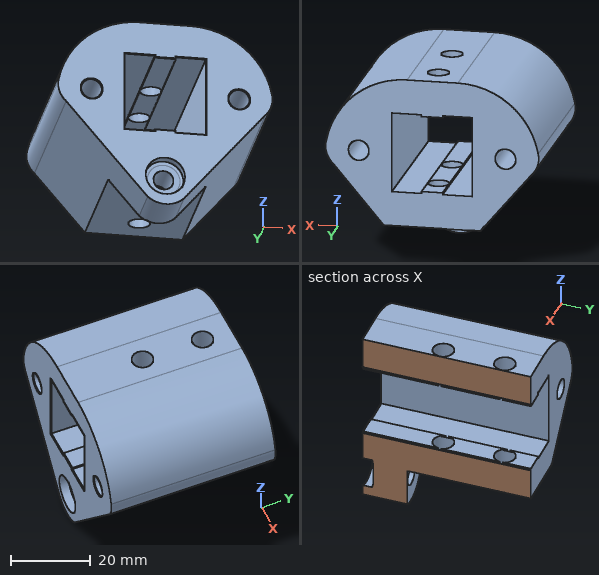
import cadquery as cq

height = 49.4
depth = 45.0
half_width = 27.3

top_flat_half = 6.5
shoulder_radius = 21.05
shoulder_end_x = 27.15
shoulder_end_z = 32.25
corner_widest_z = 30.85
flank_top_x = 25.35
flank_top_z = 26.3
flank_bottom_x = 4.6
flank_bottom_z = 1.75

flange_depth = 12.0
body_bottom_z = 11.0

passage_size = 20.6
passage_center_z = 30.25
rib_width = 5.4
rib_height = 0.5
entry_chamfer = 0.2

side_hole_diameter = 5.25
side_hole_x = 18.8
cross_hole_diameter = 5.45
cross_hole_places_y = (20.6, 37.0)
tip_hole_diameter = 5.1
tip_hole_z = 7.75
counterbore_diameter = 10.0
counterbore_depth = 2.5
cone_end_diameter = 8.3
cone_depth = 0.3


def make_body():
    """Extrude the rounded fan-shaped profile and cut the tip back to a flange."""
    shoulder_center_z = height - shoulder_radius
    diagonal = shoulder_radius * 0.5 ** 0.5
    shoulder_mid = (top_flat_half + diagonal, shoulder_center_z + diagonal)
    body = (
        cq.Workplane("XZ")
        .moveTo(-top_flat_half, height)
        .lineTo(top_flat_half, height)
        .threePointArc(shoulder_mid, (shoulder_end_x, shoulder_end_z))
        .threePointArc((half_width, corner_widest_z), (flank_top_x, flank_top_z))
        .lineTo(flank_bottom_x, flank_bottom_z)
        .threePointArc((0, 0), (-flank_bottom_x, flank_bottom_z))
        .lineTo(-flank_top_x, flank_top_z)
        .threePointArc((-half_width, corner_widest_z), (-shoulder_end_x, shoulder_end_z))
        .threePointArc((-shoulder_mid[0], shoulder_mid[1]), (-top_flat_half, height))
        .close()
        .extrude(-depth)
    )
    relief = cq.Workplane("XY").box(
        2 * half_width, depth - flange_depth, body_bottom_z, centered=(True, False, False)
    )
    return body.cut(relief.translate((0, flange_depth, 0)))


def make_passage():
    """Square through-passage, narrowed by the two ribs and flared at the front."""
    half = passage_size / 2
    rib_half = rib_width / 2
    rib_face = half - rib_height
    upper = [(-half, half), (-rib_half, half), (-rib_half, rib_face),
             (rib_half, rib_face), (rib_half, half), (half, half)]
    lower = [(-x, -z) for x, z in upper]
    front = cq.Workplane("XZ", origin=(0, 0, passage_center_z))
    outline = front.polyline(upper + lower).close()
    passage = outline.extrude(-depth)
    flare = (
        front.polyline(upper + lower).close()
        .offset2D(entry_chamfer, "intersection")
        .extrude(-entry_chamfer, taper=45)
    )
    return passage.union(flare)


def make_side_hole(x):
    """Hole along Y with a small chamfer at the front face."""
    radius = side_hole_diameter / 2
    front = cq.Workplane("XZ", origin=(x, 0, passage_center_z))
    hole = front.circle(radius).extrude(-depth)
    flare = front.circle(radius + entry_chamfer).extrude(-entry_chamfer, taper=45)
    return hole.union(flare)


def make_cross_hole(y):
    """Vertical hole through both the roof and the floor of the body."""
    return cq.Workplane("XY", origin=(0, y, 0)).circle(cross_hole_diameter / 2).extrude(height)


def make_tip_hole():
    """Stepped screw hole in the tip: cylinder, cone, flat seat, then clearance hole."""
    seat_depth = counterbore_depth + cone_depth
    profile = (
        cq.Workplane("XY", origin=(0, 0, tip_hole_z))
        .polyline([
            (0, 0),
            (counterbore_diameter / 2, 0),
            (counterbore_diameter / 2, counterbore_depth),
            (cone_end_diameter / 2, seat_depth),
            (tip_hole_diameter / 2, seat_depth),
            (tip_hole_diameter / 2, depth),
            (0, depth),
        ])
        .close()
    )
    return profile.revolve(360, (0, 0, 0), (0, 1, 0))


result = make_body().cut(make_passage()).cut(make_tip_hole())
for hole_x in (-side_hole_x, side_hole_x):
    result = result.cut(make_side_hole(hole_x))
for hole_y in cross_hole_places_y:
    result = result.cut(make_cross_hole(hole_y))